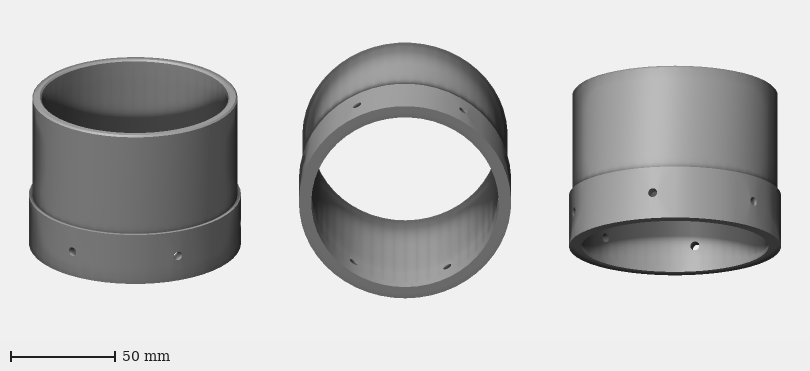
import cadquery as cq

collar_diameter = 101.6
sleeve_diameter = 98.27
bore_diameter = 89.69
total_height = 76.2
collar_height = total_height / 3
rim_chamfer = 0.79

hole_diameter = 4.32
hole_count = 6
hole_height = collar_height / 2
first_hole_angle = -90


def make_body():
    """Hollow sleeve with a wider collar at its foot and a chamfered top rim."""
    collar = cq.Workplane("XY").circle(collar_diameter / 2).extrude(collar_height)
    sleeve = cq.Workplane("XY").circle(sleeve_diameter / 2).extrude(total_height)
    bore = cq.Workplane("XY").circle(bore_diameter / 2).extrude(total_height)
    body = collar.union(sleeve).cut(bore)
    return body.faces(">Z").edges().chamfer(rim_chamfer)


def make_radial_hole(angle):
    """Cutter running from the axis outward through the collar wall."""
    cutter = (
        cq.Workplane("YZ")
        .center(0, hole_height)
        .circle(hole_diameter / 2)
        .extrude(collar_diameter)
    )
    return cutter.rotate((0, 0, 0), (0, 0, 1), angle)


result = make_body()
for index in range(hole_count):
    hole_angle = first_hole_angle + index * 360 / hole_count
    result = result.cut(make_radial_hole(hole_angle))